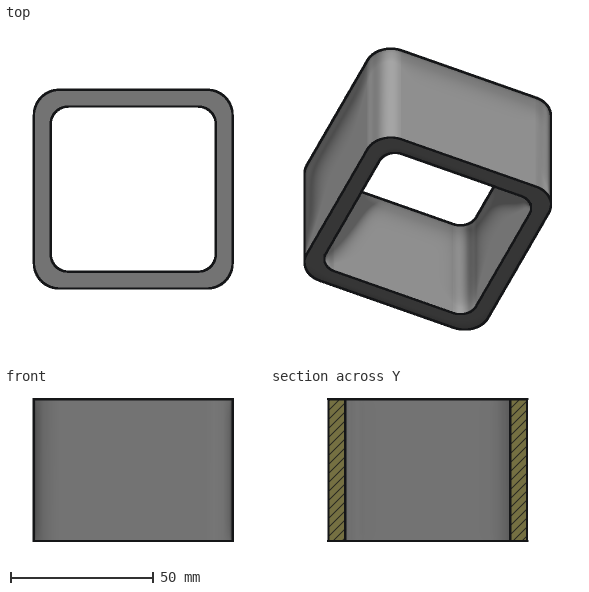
import cadquery as cq

outer_side = 70.0
height = 50.0
wall = 6.0
outer_radius = 9.0
inner_radius = 6.0

inner_side = outer_side - 2 * wall


def rounded_square_prism(side, corner_radius):
    """Square prism of the tube's height with rounded vertical edges."""
    prism = cq.Workplane("XY").rect(side, side).extrude(height)
    return prism.edges("|Z").fillet(corner_radius)


outer_body = rounded_square_prism(outer_side, outer_radius)
through_opening = rounded_square_prism(inner_side, inner_radius)

result = outer_body.cut(through_opening)